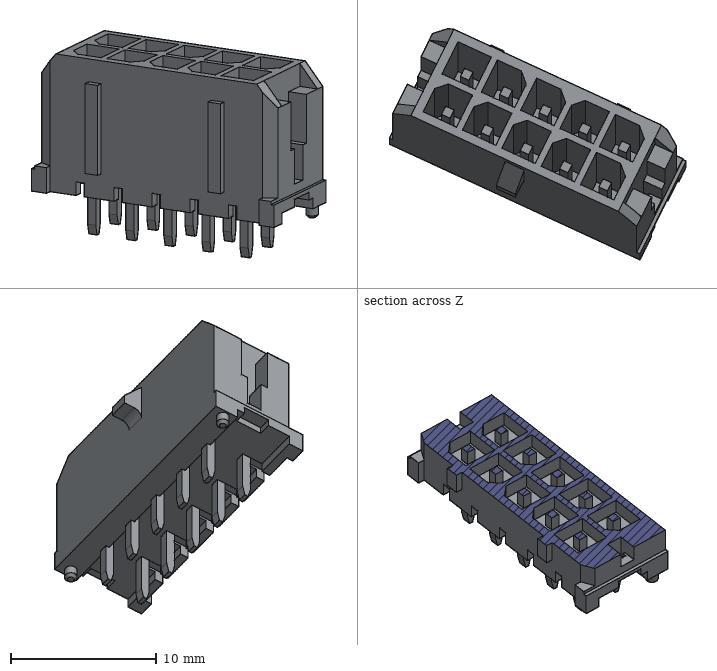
import cadquery as cq


columns = 5
pitch = 3.0
pin_width = 0.65
pin_top = 7.66
pin_bottom = -3.18
pin_tip_length = 0.75
pin_tip_width = 0.29

housing_top = 9.92
shoulder_height = 8.27
back_y = 3.39
front_y = -3.47
core_half_length = 7.93
tower_half_length = 9.33
corner_half_length = 8.39
corner_bevel_depth = 0.5
corner_foot_height = 1.84
ramp_back_width = 0.77
ramp_front_width = 1.03

flange_half_length = 9.58
flange_height = 1.6
rib_front_y = -3.96
rib_width = 1.0
rib_spacing = 9.69

socket_size = 2.55
socket_key = 0.7
socket_floor = 2.3
back_row_keys = ["L", "R", "R", "R", "R"]
front_row_keys = ["L", "R", "L", "L", ""]

end_center_y = (front_y + back_y) / 2
wide_slot_width = 2.18
wide_slot_floor = 4.79
narrow_slot_width = 1.15
narrow_slot_floor = 2.26
well_depth = 0.57
well_reach = 0.42
well_tongue_reach = 0.73
well_tongue_width = 0.82

channel_front_y = -2.82
channel_back_y = 1.55
channel_height = 0.77
recess_width = 2.03
recess_height = 1.32
recess_depth = flange_half_length - core_half_length - well_tongue_reach
front_notch_height = 0.98

peg_x = 9.02
peg_y = 2.41
peg_radius = 0.45
peg_length = 0.88
peg_chamfer = 0.21

latch_width = 1.45
latch_tip_y = 4.8
latch_top = 9.36
latch_tip_top = 7.74
latch_tip_bottom = 6.97
latch_fillet = 0.61

row_y = pitch / 2
column_xs = [(i - (columns - 1) / 2) * pitch for i in range(columns)]


def box(x0, x1, y0, y1, z0, z1):
    """Axis-aligned block between opposite corners."""
    return cq.Workplane("XY").box(x1 - x0, y1 - y0, z1 - z0, centered=False).translate((x0, y0, z0))


def slab(half_length, y0, y1, z0, z1):
    """Block centred on x = 0."""
    return box(-half_length, half_length, y0, y1, z0, z1)


def both_ends(shape):
    """The shape together with its mirror image at the other end of the housing."""
    return shape.union(shape.mirror("YZ"))


def end_profile(y0, y1):
    """Slice across the full length with sloped upper ends."""
    outline = [
        (-tower_half_length, 0),
        (tower_half_length, 0),
        (tower_half_length, shoulder_height),
        (core_half_length, housing_top),
        (-core_half_length, housing_top),
        (-tower_half_length, shoulder_height),
    ]
    return cq.Workplane("XZ", origin=(0, y1, 0)).polyline(outline).close().extrude(y1 - y0)


def front_corner():
    """Wedge removed from the -X front corner above its foot."""
    outline = [
        (-tower_half_length, front_y),
        (-corner_half_length, front_y),
        (-tower_half_length, front_y + corner_bevel_depth),
    ]
    wedge = cq.Workplane("XY", origin=(0, 0, corner_foot_height)).polyline(outline).close()
    return wedge.extrude(housing_top - corner_foot_height)


def shell():
    """Outer housing: socket block, towers with sloped ends, flanges, feet and ribs."""
    body = slab(core_half_length, front_y, back_y, 0, housing_top)
    body = body.union(slab(tower_half_length, front_y, back_y, 0, shoulder_height))
    body = body.union(end_profile(back_y - ramp_back_width, back_y))
    body = body.union(end_profile(front_y, front_y + ramp_front_width))
    body = body.cut(both_ends(front_corner()))

    foot = box(-tower_half_length, -corner_half_length, rib_front_y, front_y, 0, corner_foot_height)
    flange = box(-flange_half_length, -core_half_length, front_y, back_y, 0, flange_height)
    flange_toe = box(-flange_half_length, -corner_half_length, rib_front_y, front_y, 0, flange_height)
    rib_x = -rib_spacing / 2
    rib = box(
        rib_x - rib_width / 2, rib_x + rib_width / 2,
        rib_front_y, front_y, corner_foot_height, shoulder_height,
    )
    for feature in (foot, flange, flange_toe, rib):
        body = body.union(both_ends(feature))
    return body


def latch():
    """Ramp for the mating latch, undercut by a concave fillet at its root."""
    root_y = back_y + latch_fillet
    root_z = latch_tip_bottom - latch_fillet
    bulge = latch_fillet * 0.5 ** 0.5
    side = (
        cq.Workplane("YZ", origin=(-latch_width / 2, 0, 0))
        .moveTo(back_y, latch_top)
        .lineTo(latch_tip_y, latch_tip_top)
        .lineTo(latch_tip_y, latch_tip_bottom)
        .lineTo(root_y, latch_tip_bottom)
        .threePointArc((root_y - bulge, root_z + bulge), (back_y, root_z))
        .close()
    )
    return side.extrude(latch_width)


def socket(x, y, key):
    """Square cavity with one front corner optionally cut off for keying."""
    cavity = cq.Workplane("XY", origin=(x, y, socket_floor)).rect(socket_size, socket_size)
    cavity = cavity.extrude(housing_top - socket_floor)
    corner_edges = {"L": "|Z and <X and <Y", "R": "|Z and >X and <Y"}
    if key:
        cavity = cavity.edges(corner_edges[key]).chamfer(socket_key)
    return cavity


def end_slot():
    """Stepped slot in the -X tower, with a T-shaped well in its floor."""
    def step(reach, width, z0, z1):
        y0 = end_center_y - width / 2
        return box(-core_half_length - reach, -core_half_length, y0, y0 + width, z0, z1)

    reach = tower_half_length - core_half_length
    well_floor = narrow_slot_floor - well_depth
    slot = step(reach, wide_slot_width, wide_slot_floor, shoulder_height)
    slot = slot.union(step(reach, narrow_slot_width, narrow_slot_floor, wide_slot_floor))
    slot = slot.union(step(well_reach, narrow_slot_width, well_floor, narrow_slot_floor))
    return slot.union(step(well_tongue_reach, well_tongue_width, well_floor, narrow_slot_floor))


def underside():
    """Lengthwise channel, end recesses and the notches in front of the pins."""
    cuts = slab(flange_half_length, channel_front_y, channel_back_y, 0, channel_height)
    recess_y = end_center_y - recess_width / 2
    recess = box(
        -flange_half_length, -flange_half_length + recess_depth,
        recess_y, recess_y + recess_width, 0, recess_height,
    )
    cuts = cuts.union(both_ends(recess))
    half = pin_width / 2
    for x in column_xs:
        cuts = cuts.union(box(x - half, x + half, front_y, -row_y - half, 0, front_notch_height))
    return cuts


def pin(x, y):
    """Square pin whose lower tip tapers across Y only."""
    half = pin_width / 2
    tip_half = pin_tip_width / 2
    tip_start = pin_bottom + pin_tip_length
    outline = [
        (y - half, pin_top),
        (y + half, pin_top),
        (y + half, tip_start),
        (y + tip_half, pin_bottom),
        (y - tip_half, pin_bottom),
        (y - half, tip_start),
    ]
    return cq.Workplane("YZ", origin=(x - half, 0, 0)).polyline(outline).close().extrude(pin_width)


def peg():
    """Round locating peg with a chamfered end, under the -X flange."""
    shaft = cq.Workplane("XY", origin=(-peg_x, peg_y, -peg_length)).circle(peg_radius).extrude(peg_length)
    return shaft.faces("<Z").chamfer(peg_chamfer)


result = shell().union(latch())
result = result.cut(both_ends(end_slot())).cut(underside())

for y, keys in ((row_y, back_row_keys), (-row_y, front_row_keys)):
    for x, key in zip(column_xs, keys):
        result = result.cut(socket(x, y, key)).union(pin(x, y))

result = result.union(both_ends(peg()))